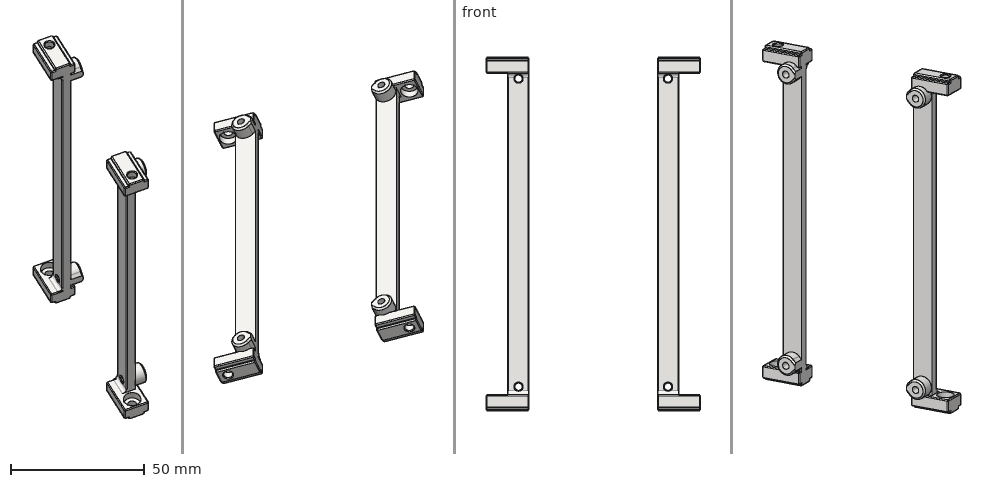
import cadquery as cq
import math

total_width = 80.0
total_height = 132.0

foot_length = 16.0
foot_depth = 10.0
foot_height = 6.0
foot_chamfer = 0.4
tongue_width = 6.6
tongue_height = 1.0
tongue_chamfer = 0.5

bar_width = 8.0
bar_depth = 3.7
bar_front_setback = 4.5
bar_chamfer = 0.4
bar_fillet = 1.6

boss_diameter = 7.8
boss_overhang = 3.35
boss_chamfer = 0.7
boss_hole_diameter = 2.7
boss_hole_chamfer = 0.35
top_boss_end_distance = 8.0
boss_spacing = 115.0

foot_hole_diameter = 3.4
counterbore_diameter = 6.5
counterbore_depth = 3.0
foot_hole_inset = 4.0
foot_hole_chamfer = 0.35

outer_x = total_width / 2
inner_x = outer_x - foot_length
end_z = total_height / 2
shoulder_z = end_z - tongue_height
foot_inner_z = end_z - foot_height
front_y = 0.0
foot_back_y = front_y + foot_depth
foot_center_y = front_y + foot_depth / 2
bar_front_y = front_y + bar_front_setback
boss_back_y = foot_back_y + boss_overhang
boss_radius = boss_diameter / 2
boss_x = inner_x + boss_radius
top_boss_z = end_z - top_boss_end_distance
bottom_boss_z = top_boss_z - boss_spacing
foot_hole_x = outer_x - foot_hole_inset


def make_bar():
    """Upright bar, let into both feet by their chamfer, with its front long edges chamfered."""
    length = 2 * (foot_inner_z + foot_chamfer)
    return (
        cq.Workplane("XY", origin=(inner_x, bar_front_y, -length / 2))
        .box(bar_width, bar_depth, length, centered=False)
        .faces("<Y").edges("|Z").chamfer(bar_chamfer)
    )


def make_foot():
    """Upper foot: a block with a tongue along its end, chamfered around both end faces."""
    block = (
        cq.Workplane("XY", origin=(inner_x, front_y, foot_inner_z))
        .box(foot_length, foot_depth, foot_height - tongue_height, centered=False)
        .edges("|X").chamfer(foot_chamfer)
    )
    tongue = (
        cq.Workplane("XY", origin=(inner_x, foot_center_y - tongue_width / 2, shoulder_z))
        .box(foot_length, tongue_width, tongue_height, centered=False)
        .faces(">Z").edges("|X").chamfer(tongue_chamfer)
    )
    return block.union(tongue).faces("<X or >X").chamfer(foot_chamfer)


def make_corner_fillet():
    """Concave fillet between the front of the bar and the upper foot."""
    root_y = bar_front_y + bar_chamfer
    return (
        cq.Workplane("YZ", origin=(inner_x, 0, 0))
        .moveTo(bar_front_y, foot_inner_z - bar_fillet)
        .radiusArc((bar_front_y - bar_fillet, foot_inner_z), -bar_fillet)
        .lineTo(root_y, foot_inner_z)
        .lineTo(root_y, foot_inner_z - bar_fillet)
        .close()
        .extrude(bar_width)
    )


def make_boss(center_z):
    """Boss with a teardrop profile, chamfered at the back and cut flush with the inner side of the bar."""
    length = boss_back_y - bar_front_y - bar_depth / 2
    tangent_offset = boss_radius * math.sqrt(0.5)
    tip_offset = boss_radius * math.sqrt(2)
    teardrop = (
        cq.Workplane("XZ", origin=(boss_x, boss_back_y, center_z))
        .moveTo(-tip_offset, 0)
        .lineTo(-tangent_offset, tangent_offset)
        .threePointArc((boss_radius, 0), (-tangent_offset, -tangent_offset))
        .close()
        .extrude(length)
        .faces(">Y").chamfer(boss_chamfer)
    )
    keep = (
        cq.Workplane("XY", origin=(inner_x, front_y, center_z))
        .box(bar_width, boss_back_y - front_y, 2 * boss_diameter, centered=(False, False, True))
    )
    return teardrop.intersect(keep)


def make_boss_hole(center_z):
    """Screw hole along Y through a boss and the bar, chamfered at the front of the bar."""
    radius = boss_hole_diameter / 2
    mouth_radius = radius + boss_hole_chamfer
    chamfer_y = bar_front_y + boss_hole_chamfer
    hole = (
        cq.Workplane("XZ", origin=(boss_x, boss_back_y, center_z))
        .circle(radius)
        .extrude(boss_back_y - front_y)
    )
    mouth = cq.Solid.makeCone(
        radius, mouth_radius, boss_hole_chamfer,
        pnt=cq.Vector(boss_x, chamfer_y, center_z), dir=cq.Vector(0, -1, 0),
    )
    entry = (
        cq.Workplane("XZ", origin=(boss_x, bar_front_y, center_z))
        .circle(mouth_radius)
        .extrude(bar_front_y - front_y)
    )
    return hole.union(mouth).union(entry)


def make_foot_hole():
    """Screw hole along Z through the upper foot, counterbored inside and chamfered at the tongue."""
    radius = foot_hole_diameter / 2
    base = cq.Workplane("XY", origin=(foot_hole_x, foot_center_y, foot_inner_z))
    hole = base.circle(radius).extrude(foot_height)
    counterbore = base.circle(counterbore_diameter / 2).extrude(counterbore_depth)
    mouth = cq.Solid.makeCone(
        radius, radius + foot_hole_chamfer, foot_hole_chamfer,
        pnt=cq.Vector(foot_hole_x, foot_center_y, end_z - foot_hole_chamfer),
    )
    return hole.union(counterbore).union(mouth)


def make_right_frame():
    """Bar with a foot and a boss at each end, drilled for the screws."""
    frame = make_bar()
    for upper_feature in (make_foot(), make_corner_fillet()):
        frame = frame.union(upper_feature).union(upper_feature.mirror("XY"))
    for center_z in (top_boss_z, bottom_boss_z):
        frame = frame.union(make_boss(center_z))
    for center_z in (top_boss_z, bottom_boss_z):
        frame = frame.cut(make_boss_hole(center_z))
    upper_hole = make_foot_hole()
    return frame.cut(upper_hole).cut(upper_hole.mirror("XY"))


right_frame = make_right_frame()
left_frame = right_frame.mirror("YZ")

result = cq.Compound.makeCompound([right_frame.val(), left_frame.val()])